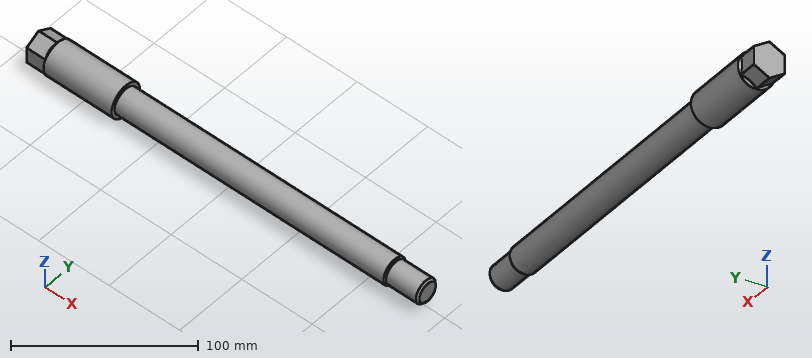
import cadquery as cq

total_length = 276.0
collar_diameter = 23.0
hex_across_flats = 19.3
hex_length = 13.5
collar_end = 61.8
shaft_diameter = 18.0
shaft_end = 253.5
tip_diameter = 16.0
collar_chamfer_length = 1.5
collar_chamfer_depth = (collar_diameter - hex_across_flats) / 2
tip_chamfer = 1.5


def cylinder(diameter, start, end):
    """Round section of the bolt between two positions along X."""
    return cq.Workplane("YZ", origin=(start, 0, 0)).circle(diameter / 2).extrude(end - start)


def hexagon_end():
    """Hexagonal drive with two flats facing +Y and -Y."""
    side_count = 6
    return (
        cq.Workplane("YZ")
        .polygon(side_count, hex_across_flats, circumscribed=True)
        .extrude(hex_length)
    )


def collar():
    """Collar whose chamfer narrows to the width across the hexagon flats."""
    start = hex_length - collar_chamfer_length
    body = cylinder(collar_diameter, start, collar_end)
    chamfered_edge = body.faces("<X").edges().val()
    solid = body.val().chamfer(collar_chamfer_length, collar_chamfer_depth, [chamfered_edge])
    return cq.Workplane(obj=solid)


def tip():
    """Reduced end with a chamfered rim."""
    return cylinder(tip_diameter, shaft_end, total_length).faces(">X").chamfer(tip_chamfer)


def shaft():
    """Long shank whose rim is chamfered down to the tip diameter."""
    rim_chamfer = (shaft_diameter - tip_diameter) / 2
    return cylinder(shaft_diameter, collar_end, shaft_end).faces(">X").chamfer(rim_chamfer)


result = hexagon_end().union(collar()).union(shaft()).union(tip())